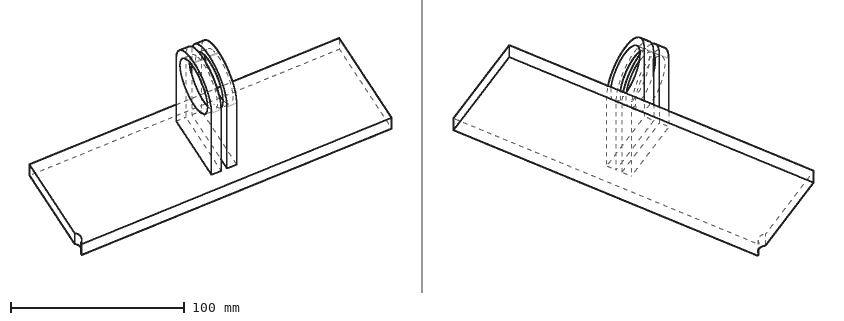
import cadquery as cq

plate_width = 65.7
plate_length = 201.0
plate_thickness = 10.3

total_height = 90.0
lug_width = 44.5
lug_top_flat = 0.6
lug_corner_radius = (lug_width - lug_top_flat) / 2
bore_diameter = 34.5
bore_height = total_height - lug_width / 2
lug_thickness = 6.2
lug_gap = 3.8
rear_lug_back_y = 5.5

notch_width = 7.8
notch_depth = 2.0
notch_corner_gap = 1.2


def make_plate():
    return cq.Workplane("XY").box(
        plate_width, plate_length, plate_thickness, centered=(True, True, False)
    )


def make_lug(back_y):
    """Lug whose +Y face lies at back_y; it extends toward -Y."""
    lug_height = total_height - plate_thickness
    blank = (
        cq.Workplane("XY", origin=(0, back_y - lug_thickness / 2, plate_thickness))
        .box(lug_width, lug_thickness, lug_height, centered=(True, True, False))
        .edges("|Y and >Z")
        .fillet(lug_corner_radius)
    )
    bore = (
        cq.Workplane("XZ", origin=(0, back_y, bore_height))
        .circle(bore_diameter / 2)
        .extrude(lug_thickness)
    )
    return blank.cut(bore)


def make_notch():
    """Circular segment cut through the full plate thickness."""
    front_y = -plate_length / 2
    right_x = plate_width / 2 - notch_corner_gap
    left_x = right_x - notch_width
    middle_x = (left_x + right_x) / 2
    return (
        cq.Workplane("XY")
        .moveTo(left_x, front_y)
        .threePointArc((middle_x, front_y + notch_depth), (right_x, front_y))
        .close()
        .extrude(plate_thickness)
    )


result = make_plate().cut(make_notch())
for lug_index in range(2):
    lug_back_y = rear_lug_back_y - lug_index * (lug_thickness + lug_gap)
    result = result.union(make_lug(lug_back_y))